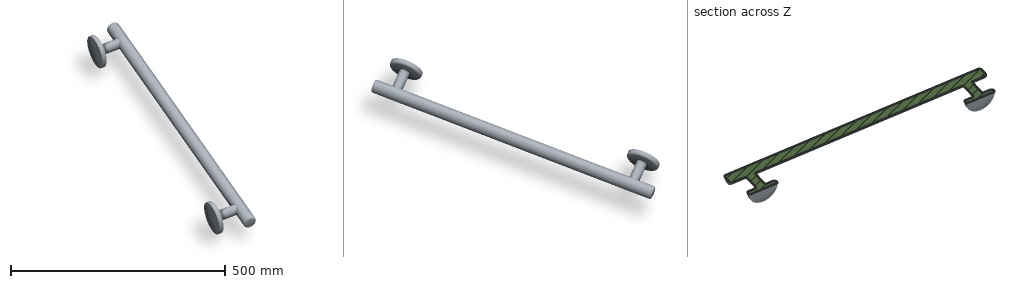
import cadquery as cq

bar_length = 710.0
overall_depth = 89.5

bar_diameter = 32.0
cap_edge_radius = 5.0
dome_height = 1.0

post_diameter = 25.0
post_spacing = 600.0
flange_diameter = 79.5
flange_thickness = 13.0
flange_edge_radius = 6.0

bar_radius = bar_diameter / 2
bar_axis_y = overall_depth - bar_radius


def make_bar():
    """Round rail along X whose ends have a rounded edge and a shallow dome."""
    tip = bar_length / 2
    rim = tip - dome_height
    shoulder = rim - cap_edge_radius
    rim_radius = bar_radius - cap_edge_radius
    dome_radius = (rim_radius**2 + dome_height**2) / (2 * dome_height)
    half_section = (
        cq.Workplane("XY")
        .moveTo(-tip, 0)
        .radiusArc((-rim, rim_radius), dome_radius)
        .radiusArc((-shoulder, bar_radius), cap_edge_radius)
        .lineTo(shoulder, bar_radius)
        .radiusArc((rim, rim_radius), cap_edge_radius)
        .radiusArc((tip, 0), dome_radius)
        .close()
    )
    bar = half_section.revolve(360, (0, 0, 0), (1, 0, 0))
    return bar.translate((0, bar_axis_y, 0))


def make_support(x):
    """Wall flange on the plane Y = 0 with a post reaching the rail axis."""
    wall = cq.Workplane("XZ", origin=(x, 0, 0))
    flange = wall.circle(flange_diameter / 2).extrude(-flange_thickness)
    flange = flange.faces(">Y").edges().fillet(flange_edge_radius)
    post = wall.circle(post_diameter / 2).extrude(-bar_axis_y)
    return flange.union(post)


result = make_bar()
for side in (-1, 1):
    result = result.union(make_support(side * post_spacing / 2))